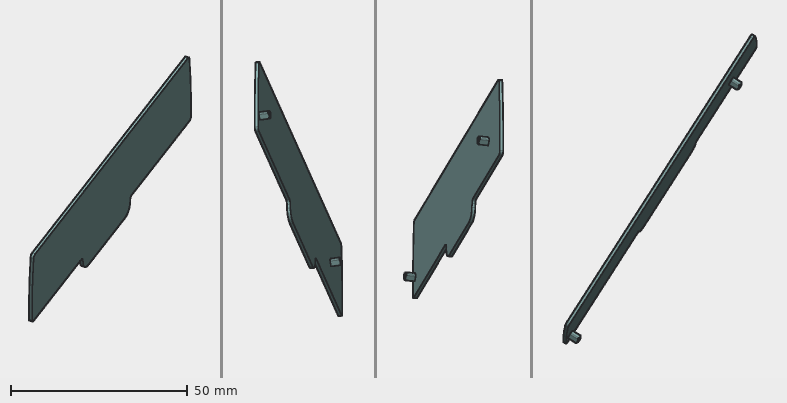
import cadquery as cq
import math

thickness = 1.0
length = 101.2
height = 29.1
side_arc_center = 9.1
side_arc_radius = 172.0
corner_radius = 1.0

tab_depth = 5.3
tab_center = -3.1
tab_root_width = 30.4
tab_tip_width = 29.3
tab_root_radius = 1.0
tab_tip_radius = 3.4

peg_length = 3.0
peg_diagonal = 2.8
peg_edge_radius = 0.3
peg_tip_diameter = 1.6
peg_tip_taper = 0.5
peg_places = [(48.4, 11.1), (-36.9, 15.2)]


def side_inset(z):
    """Distance the bowed end lies inside its widest point at height z."""
    rise = z - side_arc_center
    return side_arc_radius - math.sqrt(side_arc_radius**2 - rise**2)


def make_plate():
    half = length / 2
    bottom_half = half - side_inset(tab_depth)
    top_half = half - side_inset(height)
    body = (
        cq.Workplane("YZ")
        .moveTo(-bottom_half, tab_depth)
        .lineTo(bottom_half, tab_depth)
        .threePointArc((half, side_arc_center), (top_half, height))
        .lineTo(-top_half, height)
        .threePointArc((-half, side_arc_center), (-bottom_half, tab_depth))
        .close()
        .extrude(thickness)
    )
    top_corners = body.edges("|X and >Z")
    bottom_corners = body.edges("|X and <Z")
    return body.newObject(top_corners.vals() + bottom_corners.vals()).fillet(corner_radius)


def make_tab():
    root_half = tab_root_width / 2
    tip_half = tab_tip_width / 2
    tab_top = (tab_depth + height) / 2
    return (
        cq.Workplane("YZ")
        .moveTo(tab_center - tip_half, 0)
        .lineTo(tab_center + tip_half, 0)
        .lineTo(tab_center + root_half, tab_depth)
        .lineTo(tab_center + root_half, tab_top)
        .lineTo(tab_center - root_half, tab_top)
        .lineTo(tab_center - root_half, tab_depth)
        .close()
        .extrude(thickness)
        .edges("|X and <Z")
        .fillet(tab_tip_radius)
    )


def round_tab_root(plate):
    """Round the two inner corners where the tab meets the plate."""
    reach = tab_root_radius / 2
    root_corners = []
    for side in (-1, 1):
        y = tab_center + side * tab_root_width / 2
        box = cq.selectors.BoxSelector(
            (-thickness, y - reach, tab_depth - reach),
            (2 * thickness, y + reach, tab_depth + reach),
        )
        root_corners += plate.edges("|X").edges(box).vals()
    return plate.newObject(root_corners).fillet(tab_root_radius)


def make_peg(y, z):
    """Square peg with rounded long edges, its corners cut back by a cone at the tip."""
    square = (
        cq.Workplane("YZ")
        .polygon(4, peg_diagonal)
        .extrude(-peg_length)
        .edges("|X")
        .fillet(peg_edge_radius)
    )
    tip_radius = peg_tip_diameter / 2
    base_radius = peg_diagonal / 2
    envelope = (
        cq.Workplane("XY")
        .moveTo(0, 0)
        .lineTo(0, base_radius)
        .lineTo(-peg_length + peg_tip_taper, base_radius)
        .lineTo(-peg_length, tip_radius)
        .lineTo(-peg_length, 0)
        .close()
        .revolve(360, (0, 0, 0), (1, 0, 0))
    )
    return square.intersect(envelope).translate((0, y, z))


result = round_tab_root(make_plate().union(make_tab()))
for peg_y, peg_z in peg_places:
    result = result.union(make_peg(peg_y, peg_z))